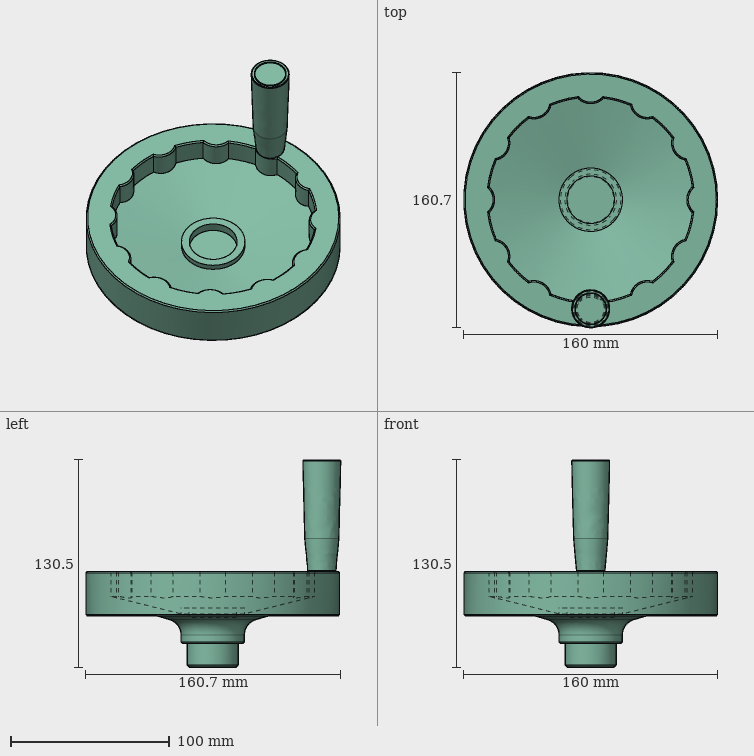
import cadquery as cq
import math

rim_diameter = 160.0
rim_height = 28.0
rim_chamfer = 0.9

dish_radius = 64.5
dish_wall_depth = 15.7
dish_edge_chamfer = 0.9
dish_slope = 14.0
grip_count = 12
grip_radius = 11.0
grip_circle_radius = 71.5

collar_top_depth = 23.0
collar_bore_diameter = 30.0
collar_bore_depth = 6.0

hub_diameter = 40.0
hub_length = 17.5
hub_chamfer = 1.0
hub_straight_length = 5.5
hub_flare_radius = 10.0
hub_flare_slope = 16.0
spigot_diameter = 32.4
spigot_length = 15.0
spigot_chamfer = 1.6

handle_offset = 68.69
handle_length = 70.0
handle_base_radius = 9.0
handle_waist_radius = 10.8
handle_waist_height = 20.7
handle_top_radius = 12.0
handle_lower_bulge = 0.05
handle_upper_bulge = 0.05
handle_base_chamfer = 0.4
handle_top_chamfer = 0.5

cap_seat_diameter = 20.0
cap_diameter = 19.4
cap_gap_depth = 0.5

hub_radius = hub_diameter / 2
dish_wall_bottom = rim_height - dish_wall_depth


def make_rim():
    rim = cq.Workplane("XY").circle(rim_diameter / 2).extrude(rim_height)
    return rim.edges().chamfer(rim_chamfer)


def make_dish():
    """Volume removed from the top of the rim, with grips left standing in its wall."""
    cone_drop = (dish_radius - hub_radius) * math.tan(math.radians(dish_slope))
    cone_bottom = dish_wall_bottom - cone_drop
    dish = (
        cq.Workplane("XZ")
        .moveTo(0, cone_bottom)
        .lineTo(hub_radius, cone_bottom)
        .lineTo(dish_radius, dish_wall_bottom)
        .lineTo(dish_radius, rim_height - dish_edge_chamfer)
        .lineTo(dish_radius + dish_edge_chamfer, rim_height)
        .lineTo(0, rim_height)
        .close()
        .revolve(360, (0, 0, 0), (0, 1, 0))
    )
    grips = (
        cq.Workplane("XY")
        .polarArray(grip_circle_radius, 0, 360, grip_count)
        .circle(grip_radius)
        .extrude(rim_height)
        .faces(">Z")
        .chamfer(dish_edge_chamfer)
    )
    return dish.cut(grips)


def make_hub():
    """Collar, flared hub and spigot as one turned profile."""
    slope = math.radians(hub_flare_slope)
    collar_top = rim_height - collar_top_depth
    hub_bottom = -hub_length
    flare_start = hub_bottom + hub_straight_length
    flare_centre = hub_radius + hub_flare_radius

    def flare_point(angle):
        return (
            flare_centre - hub_flare_radius * math.cos(angle),
            flare_start + hub_flare_radius * math.sin(angle),
        )

    flare_angle = math.pi / 2 - slope
    flare_end = flare_point(flare_angle)
    cone_radius = flare_end[0] - flare_end[1] / math.tan(slope)
    spigot_radius = spigot_diameter / 2
    spigot_bottom = hub_bottom - spigot_length
    return (
        cq.Workplane("XZ")
        .moveTo(0, spigot_bottom)
        .lineTo(spigot_radius - spigot_chamfer, spigot_bottom)
        .lineTo(spigot_radius, spigot_bottom + spigot_chamfer)
        .lineTo(spigot_radius, hub_bottom)
        .lineTo(hub_radius - hub_chamfer, hub_bottom)
        .lineTo(hub_radius, hub_bottom + hub_chamfer)
        .lineTo(hub_radius, flare_start)
        .threePointArc(flare_point(flare_angle / 2), flare_end)
        .lineTo(cone_radius, 0)
        .lineTo(hub_radius, 0)
        .lineTo(hub_radius, collar_top)
        .lineTo(0, collar_top)
        .close()
        .revolve(360, (0, 0, 0), (0, 1, 0))
    )


def make_collar_bore():
    bore_floor = rim_height - collar_top_depth - collar_bore_depth
    return (
        cq.Workplane("XY")
        .workplane(offset=bore_floor)
        .circle(collar_bore_diameter / 2)
        .extrude(rim_height)
    )


def make_handle():
    """Turned grip, slightly barrelled below and above its waist."""
    upper_start = (handle_waist_radius, handle_waist_height)
    upper_end = (handle_top_radius, handle_length - handle_top_chamfer)
    lower_start = (handle_base_radius, handle_base_chamfer)

    def bulged_middle(start, end, bulge):
        return ((start[0] + end[0]) / 2 + bulge, (start[1] + end[1]) / 2)

    handle = (
        cq.Workplane("XZ")
        .lineTo(handle_base_radius - handle_base_chamfer, 0)
        .lineTo(*lower_start)
        .threePointArc(bulged_middle(lower_start, upper_start, handle_lower_bulge), upper_start)
        .threePointArc(bulged_middle(upper_start, upper_end, handle_upper_bulge), upper_end)
        .lineTo(handle_top_radius - handle_top_chamfer, handle_length)
        .lineTo(0, handle_length)
        .close()
        .revolve(360, (0, 0, 0), (0, 1, 0))
    )
    cap_gap = (
        cq.Workplane("XY")
        .workplane(offset=handle_length)
        .circle(cap_seat_diameter / 2)
        .circle(cap_diameter / 2)
        .extrude(-cap_gap_depth)
    )
    return handle.cut(cap_gap).translate((0, -handle_offset, rim_height))


wheel = make_rim().cut(make_dish()).union(make_hub()).cut(make_collar_bore())
result = wheel.union(make_handle())